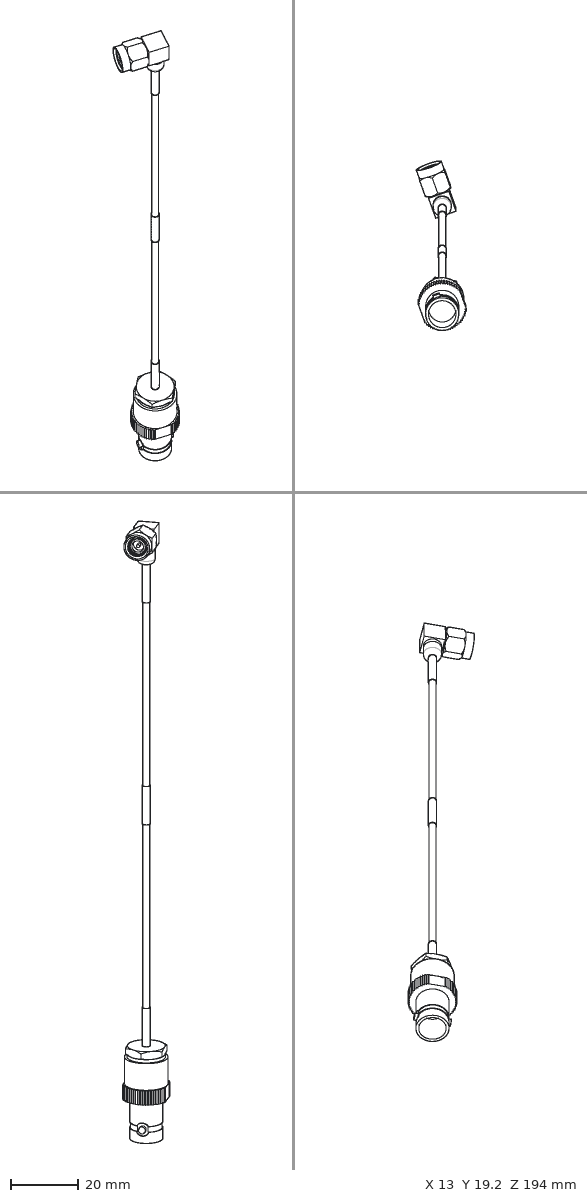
import cadquery as cq
import math


OVERALL_HEIGHT = 194.0
OVERALL_DEPTH = 19.2

TUBE_DIAMETER = 9.9
TUBE_BORE_DIAMETER = 8.1
TUBE_BORE_DEPTH = 9.7
BAND_BOTTOM_Z = 3.5
BAND_TOP_Z = 5.2
BAND_DEPTH = 0.2
LUG_Z = 4.3
LUG_DIAMETER = 2.1
LUG_SPAN = 11.0
LUG_SPOT_DIAMETER = 4.0
LUG_SPOT_FLAT_WIDTH = 9.0
GRIP_BOTTOM_Z = 12.8
GRIP_TOP_Z = 17.3
GRIP_DIAMETER = 14.5
GRIP_ROOT_DIAMETER = 13.8
GRIP_TEETH = 60
GRIP_FLATS = 13.0
JACK_DIAMETER = 13.0
JACK_TOP_Z = 25.6

CLAMP_NECK_DIAMETER = 11.5
CLAMP_HEX_BOTTOM_Z = 26.5
CLAMP_TOP_Z = 29.1
CLAMP_FLATS = 11.3
CLAMP_BEVEL_ANGLE = 30.0

HALF_HEX_STEP = 360 / 6 / 2

BLOCK_SIDE = 6.4
NUT_FLATS = 8.0
PLUG_AXIS_Z = OVERALL_HEIGHT - NUT_FLATS / math.sqrt(3)
NECK_DIAMETER = 5.5
NECK_LENGTH = 1.2
NOSE_DIAMETER = 4.7
NOSE_BORE_DIAMETER = 3.5
NOSE_BORE_DEPTH = 2.0
NOSE_SETBACK = 1.2
PIN_DIAMETER = 1.0
PIN_LENGTH = 1.5

NUT_BACK_REACH = 3.5
NUT_FRONT_REACH = OVERALL_DEPTH - GRIP_DIAMETER / 2
NUT_COLLAR_LENGTH = 2.5
NUT_BACK_WALL = 1.2
NUT_BEVEL_ANGLE = 45.0
NUT_BORE_DIAMETER = 5.8
NUT_BORE_BEVEL = 0.5
THREAD_DEPTH = 0.4
THREAD_PITCH = 0.8
THREAD_COUNT = 7

FERRULE_LENGTH = 4.5
FERRULE_ROUND = 1.5

CABLE_DIAMETER = 2.1
SLEEVE_DIAMETER = 2.5
SLEEVE_LENGTH = 12.0

BLOCK_BOTTOM_Z = PLUG_AXIS_Z - BLOCK_SIDE / 2
FERRULE_TOP_Z = BLOCK_BOTTOM_Z - NECK_LENGTH
FERRULE_BOTTOM_Z = FERRULE_TOP_Z - FERRULE_LENGTH


def cylinder(diameter, bottom, top):
    """Cylinder on the Z axis between two heights."""
    return cq.Workplane("XY", origin=(0, 0, bottom)).circle(diameter / 2).extrude(top - bottom)


def box_on_axis(width, depth, bottom, top):
    """Box centred on the Z axis between two heights."""
    return cq.Workplane("XY", origin=(0, 0, bottom)).rect(width, depth).extrude(top - bottom)


def beveled_hexagon(flats, bevel_angle, bottom, top):
    """Hexagonal prism on Z, flats at +X and -X, corners beveled off at both ends."""
    corner_radius = flats / math.sqrt(3)
    bevel_height = (corner_radius - flats / 2) * math.tan(math.radians(bevel_angle))
    hexagon = (
        cq.Workplane("XY", origin=(0, 0, bottom))
        .polygon(6, 2 * corner_radius)
        .extrude(top - bottom)
        .rotate((0, 0, 0), (0, 0, 1), HALF_HEX_STEP)
    )
    bevel_cone = (
        cq.Workplane("XZ")
        .moveTo(0, bottom)
        .lineTo(flats / 2, bottom)
        .lineTo(corner_radius, bottom + bevel_height)
        .lineTo(corner_radius, top - bevel_height)
        .lineTo(flats / 2, top)
        .lineTo(0, top)
        .close()
        .revolve(360, (0, 0, 0), (0, 1, 0))
    )
    return hexagon.intersect(bevel_cone)


def make_knurled_grip():
    """Ring of straight V teeth with two wrench flats at +X and -X."""
    outline = []
    for tooth in range(GRIP_TEETH):
        for half_step, diameter in ((0, GRIP_DIAMETER), (0.5, GRIP_ROOT_DIAMETER)):
            angle = math.pi / 2 + 2 * math.pi * (tooth + half_step) / GRIP_TEETH
            outline.append((diameter / 2 * math.cos(angle), diameter / 2 * math.sin(angle)))
    grip = (
        cq.Workplane("XY", origin=(0, 0, GRIP_BOTTOM_Z))
        .polyline(outline)
        .close()
        .extrude(GRIP_TOP_Z - GRIP_BOTTOM_Z)
    )
    return grip.intersect(box_on_axis(GRIP_FLATS, GRIP_DIAMETER, GRIP_BOTTOM_Z, GRIP_TOP_Z))


def make_jack():
    """Bayonet jack: bored tube with two lugs, knurled grip and round barrel."""
    tube = cylinder(TUBE_DIAMETER, 0, GRIP_BOTTOM_Z)

    band = cylinder(TUBE_DIAMETER, BAND_BOTTOM_Z, BAND_TOP_Z)
    band = band.cut(cylinder(TUBE_DIAMETER - 2 * BAND_DEPTH, BAND_BOTTOM_Z, BAND_TOP_Z))
    tube = tube.cut(band)

    lug_plane = cq.Workplane("XZ", origin=(0, 0, LUG_Z))
    spots = lug_plane.circle(LUG_SPOT_DIAMETER / 2).extrude(TUBE_DIAMETER, both=True)
    kept_core = box_on_axis(TUBE_DIAMETER, LUG_SPOT_FLAT_WIDTH, 0, GRIP_BOTTOM_Z)
    tube = tube.cut(spots.cut(kept_core))

    lugs = lug_plane.circle(LUG_DIAMETER / 2).extrude(LUG_SPAN / 2, both=True)
    barrel = cylinder(JACK_DIAMETER, GRIP_BOTTOM_Z, JACK_TOP_Z)
    jack = tube.union(lugs).union(make_knurled_grip()).union(barrel)
    return jack.cut(cylinder(TUBE_BORE_DIAMETER, 0, TUBE_BORE_DEPTH))


def make_clamp_nut():
    """Hexagonal nut with a round neck, bored for the cable."""
    neck = cylinder(CLAMP_NECK_DIAMETER, JACK_TOP_Z, CLAMP_HEX_BOTTOM_Z)
    hexagon = beveled_hexagon(CLAMP_FLATS, CLAMP_BEVEL_ANGLE, CLAMP_HEX_BOTTOM_Z, CLAMP_TOP_Z)
    return neck.union(hexagon).cut(cylinder(CABLE_DIAMETER, JACK_TOP_Z, CLAMP_TOP_Z))


def toward_plug_front(body):
    """Turn a body built along +Z so that it lies along -Y on the plug axis."""
    return body.rotate((0, 0, 0), (1, 0, 0), 90).translate((0, 0, PLUG_AXIS_Z))


def make_elbow():
    """Square block with a neck below, and a hollow nose with a contact pin in front."""
    block = cq.Workplane("XY", origin=(0, 0, PLUG_AXIS_Z)).box(BLOCK_SIDE, BLOCK_SIDE, BLOCK_SIDE)
    neck = cylinder(NECK_DIAMETER, FERRULE_TOP_Z, BLOCK_BOTTOM_Z)
    nose_tip = NUT_FRONT_REACH - NOSE_SETBACK
    nose_floor = nose_tip - NOSE_BORE_DEPTH
    nose = cylinder(NOSE_DIAMETER, 0, nose_tip)
    nose = nose.cut(cylinder(NOSE_BORE_DIAMETER, nose_floor, nose_tip))
    nose = nose.union(cylinder(PIN_DIAMETER, 0, nose_floor + PIN_LENGTH))
    return block.union(neck).union(toward_plug_front(nose))


def thread_groove(crest):
    """Ring with a V-shaped section, centred on Z at the height of its crest."""
    bore_radius = NUT_BORE_DIAMETER / 2
    half_pitch = THREAD_PITCH / 2
    return (
        cq.Workplane("XZ")
        .moveTo(bore_radius, crest - half_pitch)
        .lineTo(bore_radius + THREAD_DEPTH, crest)
        .lineTo(bore_radius, crest + half_pitch)
        .close()
        .revolve(360, (0, 0, 0), (0, 1, 0))
    )


def make_coupling_nut():
    """Hexagonal nut with a round front collar and a threaded bore around the plug nose."""
    collar_back = NUT_FRONT_REACH - NUT_COLLAR_LENGTH
    nut = beveled_hexagon(NUT_FLATS, NUT_BEVEL_ANGLE, NUT_BACK_REACH, collar_back)
    nut = nut.union(cylinder(NUT_FLATS, collar_back, NUT_FRONT_REACH))
    nut = nut.cut(cylinder(NOSE_DIAMETER, NUT_BACK_REACH, NUT_FRONT_REACH))
    nut = nut.cut(cylinder(NUT_BORE_DIAMETER, NUT_BACK_REACH + NUT_BACK_WALL, NUT_FRONT_REACH))
    bore_mouth = nut.faces(">Z").edges(cq.selectors.RadiusNthSelector(0))
    nut = bore_mouth.chamfer(NUT_BORE_BEVEL)
    for turn in range(THREAD_COUNT):
        nut = nut.cut(thread_groove(NUT_FRONT_REACH - NUT_BORE_BEVEL - (turn + 0.5) * THREAD_PITCH))
    return toward_plug_front(nut)


def make_ferrule():
    """Tube with a rounded lower end, bored for the cable."""
    ferrule = cylinder(NECK_DIAMETER, FERRULE_BOTTOM_Z, FERRULE_TOP_Z)
    ferrule = ferrule.faces("<Z").edges().fillet(FERRULE_ROUND)
    return ferrule.cut(cylinder(CABLE_DIAMETER, FERRULE_BOTTOM_Z, FERRULE_TOP_Z))


def make_sleeve(bottom):
    """Thin tube around the cable."""
    top = bottom + SLEEVE_LENGTH
    return cylinder(SLEEVE_DIAMETER, bottom, top).cut(cylinder(CABLE_DIAMETER, bottom, top))


jack = make_jack()
clamp_nut = make_clamp_nut()
elbow = make_elbow()
coupling_nut = make_coupling_nut()
ferrule = make_ferrule()
cable = cylinder(CABLE_DIAMETER, JACK_TOP_Z, FERRULE_TOP_Z)

lowest_sleeve_z = CLAMP_TOP_Z
highest_sleeve_z = FERRULE_BOTTOM_Z - SLEEVE_LENGTH
middle_sleeve_z = (lowest_sleeve_z + highest_sleeve_z) / 2
sleeves = [make_sleeve(z) for z in (lowest_sleeve_z, middle_sleeve_z, highest_sleeve_z)]

result = cq.Compound.makeCompound(
    [
        jack.val(),
        clamp_nut.val(),
        elbow.val(),
        coupling_nut.val(),
        ferrule.val(),
        cable.val(),
        *[sleeve.val() for sleeve in sleeves],
    ]
)